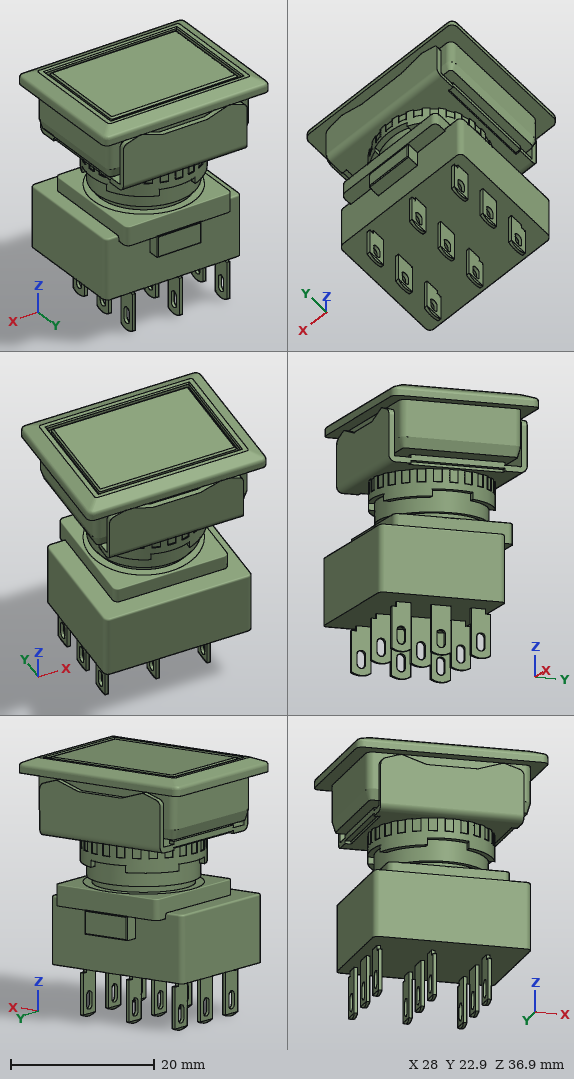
import cadquery as cq

TOP_Z = 36.9
BEZEL_BASE_Z = 34.8
HOUSING_BASE_Z = 27.95
NUT_TOP_Z = 26.1
NUT_BASE_Z = 22.18
BARREL_BASE_Z = 20.07
MOUNT_TOP_Z = 19.1
MOUNT_BASE_Z = 16.1
BLOCK_TOP_Z = 16.9
BLOCK_BASE_Z = 7.1

BEZEL_LENGTH, BEZEL_WIDTH = 28.0, 22.0
BEZEL_SLOPE_RUN, BEZEL_SLOPE_DROP = 2.03, 0.9
BEZEL_CORNER_RADIUS = 1.0
BEZEL_EDGE_RADIUS = 0.55
RIM_BAND = 0.1
WINDOW_LENGTH, WINDOW_WIDTH = 22.15, 16.3
WINDOW_DEPTH = 0.75
WINDOW_CHAMFER = 0.2
LENS_LENGTH, LENS_WIDTH = 21.45, 15.42
LENS_CORNER_RADIUS = 0.3
LENS_CHAMFER = 0.25

HOUSING_LENGTH, HOUSING_WIDTH = 24.02, 18.1
HOUSING_CORNER_RADIUS = 1.0
TAPER_HEIGHT = 1.5
TAPER_INSET = 0.48
BARREL_RADIUS = 8.0
NECK_RADIUS = 7.27
FOOT_RADIUS = 8.5
FOOT_HEIGHT = 1.0

BRACKET_LENGTH = 20.92
BRACKET_WIDTH = 20.65
SHEET_THICKNESS = 0.85
BEND_RADIUS = 1.0
EAR_PEAK_Z = 34.43
EAR_VALLEY_Z = 33.25
EAR_CORNER_Z = 33.5
EAR_PEAK_X = 7.5
EAR_VALLEY_X = 3.73
EAR_CORNER_RADIUS = 1.0
TONGUE_WIDTH = 14.02
TONGUE_RAISE = 0.4
TONGUE_LENGTH = 0.85

NUT_RADIUS = 8.9
GRIP_COUNT = 24
GRIP_WIDTH = 1.2
GRIP_HEIGHT = 1.85
GRIP_DEPTH = 0.2
WRENCH_NOTCH_WIDTH = 6.05
WRENCH_NOTCH_HEIGHT = 1.0

BLOCK_LENGTH, BLOCK_WIDTH = 23.03, 18.85
BLOCK_CENTER_X, BLOCK_CENTER_Y = -0.37, -2.49
MOUNT_SIDE = 17.85
BLOCK_CORNER_RADIUS = 0.8
BLOCK_EDGE_RADIUS = 0.3
MOUNT_EDGE_RADIUS = 0.15
LATCH_LENGTH = 7.38
LATCH_HEIGHT = 3.47
LATCH_CHAMFER = 0.15

TERMINAL_PITCH_X, TERMINAL_PITCH_Y = 7.97, 5.95
TERMINAL_CENTER_X, TERMINAL_CENTER_Y = -1.95, -0.95
TERMINAL_WIDTH = 2.88
TERMINAL_THICKNESS = 0.5
TERMINAL_TIP_HEIGHT = 0.4
TERMINAL_TIP_BEVEL = 0.15
TERMINAL_HOLE_WIDTH, TERMINAL_HOLE_HEIGHT = 1.25, 2.6
TERMINAL_HOLE_Z = 2.32
SHOULDER_DEPTH, SHOULDER_HEIGHT = 0.75, 0.7


def block(length, width, base_z, top_z):
    """Rectangular block centred on the barrel axis."""
    return (
        cq.Workplane("XY", origin=(0, 0, base_z))
        .rect(length, width)
        .extrude(top_z - base_z)
    )


def disc(radius, base_z, top_z):
    """Cylinder on the barrel axis."""
    return cq.Workplane("XY", origin=(0, 0, base_z)).circle(radius).extrude(top_z - base_z)


def make_bezel():
    """Bezel plate with rounded corners, four sloping sides and a rounded rim."""
    plate = block(BEZEL_LENGTH, BEZEL_WIDTH, BEZEL_BASE_Z, TOP_Z).edges("|Z").fillet(BEZEL_CORNER_RADIUS)
    slope_height = TOP_Z - BEZEL_BASE_Z
    slope_run = BEZEL_SLOPE_RUN * slope_height / BEZEL_SLOPE_DROP
    base_growth = 2 * (slope_run - BEZEL_SLOPE_RUN)
    top_shrink = 2 * BEZEL_SLOPE_RUN
    slopes = (
        cq.Workplane("XY", origin=(0, 0, BEZEL_BASE_Z))
        .rect(BEZEL_LENGTH + base_growth, BEZEL_WIDTH + base_growth)
        .workplane(offset=slope_height)
        .rect(BEZEL_LENGTH - top_shrink, BEZEL_WIDTH - top_shrink)
        .loft(ruled=True)
        .edges("not(#Z)")
        .fillet(BEZEL_CORNER_RADIUS)
    )
    rim_z = TOP_Z - BEZEL_SLOPE_DROP
    rim_zone = cq.selectors.BoxSelector(
        (-BEZEL_LENGTH, -BEZEL_WIDTH, rim_z - RIM_BAND),
        (BEZEL_LENGTH, BEZEL_WIDTH, rim_z + RIM_BAND),
        boundingbox=True,
    )
    return plate.intersect(slopes).edges(rim_zone).fillet(BEZEL_EDGE_RADIUS)


def make_lens():
    """Raised rectangular lens standing on the floor of the window."""
    return (
        block(LENS_LENGTH, LENS_WIDTH, TOP_Z - WINDOW_DEPTH, TOP_Z)
        .edges("|Z")
        .fillet(LENS_CORNER_RADIUS)
        .faces(">Z")
        .chamfer(LENS_CHAMFER)
    )


def make_window_recess():
    """Cutter for the window around the lens, widened by a chamfer at the top."""
    straight = block(WINDOW_LENGTH, WINDOW_WIDTH, TOP_Z - WINDOW_DEPTH, TOP_Z)
    flare = (
        cq.Workplane("XY", origin=(0, 0, TOP_Z - WINDOW_CHAMFER))
        .rect(WINDOW_LENGTH, WINDOW_WIDTH)
        .workplane(offset=WINDOW_CHAMFER)
        .rect(WINDOW_LENGTH + 2 * WINDOW_CHAMFER, WINDOW_WIDTH + 2 * WINDOW_CHAMFER)
        .loft(ruled=True)
    )
    return straight.union(flare)


def make_housing():
    """Rounded rectangular housing whose lower end tapers inward."""
    return (
        block(HOUSING_LENGTH, HOUSING_WIDTH, HOUSING_BASE_Z, BEZEL_BASE_Z)
        .edges("|Z")
        .fillet(HOUSING_CORNER_RADIUS)
        .faces("<Z")
        .chamfer(TAPER_HEIGHT, TAPER_INSET)
    )


def make_barrel():
    """Round barrel, its neck, and the foot that seats in the contact block."""
    barrel = disc(BARREL_RADIUS, BARREL_BASE_Z, HOUSING_BASE_Z)
    neck = disc(NECK_RADIUS, MOUNT_TOP_Z, BARREL_BASE_Z)
    foot = disc(FOOT_RADIUS, MOUNT_TOP_Z - FOOT_HEIGHT, MOUNT_TOP_Z)
    return barrel.union(neck).union(foot)


def make_operator():
    """Bezel, lens, housing and barrel as one body."""
    bezel = make_bezel().cut(make_window_recess()).union(make_lens())
    return bezel.union(make_housing()).union(make_barrel())


def make_bracket_channel():
    """U-shaped sheet: a floor under the housing and a wall along each long side."""
    inner_width = BRACKET_WIDTH - 2 * SHEET_THICKNESS
    outer = (
        block(BRACKET_LENGTH, BRACKET_WIDTH, NUT_TOP_Z, BEZEL_BASE_Z)
        .edges("|X and <Z")
        .fillet(BEND_RADIUS)
    )
    inner = (
        block(BRACKET_LENGTH, inner_width, NUT_TOP_Z + SHEET_THICKNESS, BEZEL_BASE_Z)
        .edges("|X and <Z")
        .fillet(BEND_RADIUS - SHEET_THICKNESS)
    )
    return outer.cut(inner)


def make_wall_outline():
    """Prism through both walls: two peaks, a valley between them and rounded ears."""
    half_length = BRACKET_LENGTH / 2
    return (
        cq.Workplane("XZ")
        .moveTo(-half_length, NUT_TOP_Z)
        .lineTo(-half_length, EAR_CORNER_Z)
        .lineTo(-EAR_PEAK_X, EAR_PEAK_Z)
        .lineTo(-EAR_VALLEY_X, EAR_VALLEY_Z)
        .lineTo(EAR_VALLEY_X, EAR_VALLEY_Z)
        .lineTo(EAR_PEAK_X, EAR_PEAK_Z)
        .lineTo(half_length, EAR_CORNER_Z)
        .lineTo(half_length, NUT_TOP_Z)
        .close()
        .extrude(BRACKET_WIDTH / 2, both=True)
        .edges(cq.selectors.BoxSelector(
            (-BRACKET_LENGTH, -BRACKET_WIDTH, EAR_CORNER_Z - RIM_BAND),
            (BRACKET_LENGTH, BRACKET_WIDTH, EAR_CORNER_Z + RIM_BAND),
        ))
        .edges("|Y")
        .fillet(EAR_CORNER_RADIUS)
    )


def make_bracket():
    """Spring bracket with a raised tongue at each end of its floor and a hole for the barrel."""
    bracket = make_bracket_channel().intersect(make_wall_outline())
    for end in (-1, 1):
        tongue_x = end * (BRACKET_LENGTH - TONGUE_LENGTH) / 2
        tongue = block(TONGUE_LENGTH, TONGUE_WIDTH, NUT_TOP_Z, NUT_TOP_Z + SHEET_THICKNESS)
        tongue = tongue.translate((tongue_x, 0, 0))
        bracket = bracket.cut(tongue).union(tongue.translate((0, 0, TONGUE_RAISE)))
    return bracket.cut(disc(BARREL_RADIUS, NUT_TOP_Z, HOUSING_BASE_Z))


def make_nut():
    """Ring nut with grip slots around its upper edge and four wrench notches below."""
    nut = disc(NUT_RADIUS, NUT_BASE_Z, NUT_TOP_Z)
    grip_slot = (
        cq.Workplane("XY", origin=(NUT_RADIUS, 0, NUT_TOP_Z - GRIP_HEIGHT))
        .rect(2 * GRIP_DEPTH, GRIP_WIDTH)
        .extrude(GRIP_HEIGHT)
    )
    for index in range(GRIP_COUNT):
        angle = index * 360 / GRIP_COUNT
        nut = nut.cut(grip_slot.rotate((0, 0, 0), (0, 0, 1), angle))
    notch_top_z = NUT_BASE_Z + WRENCH_NOTCH_HEIGHT
    nut = nut.cut(block(WRENCH_NOTCH_WIDTH, 2 * NUT_RADIUS, NUT_BASE_Z, notch_top_z))
    nut = nut.cut(block(2 * NUT_RADIUS, WRENCH_NOTCH_WIDTH, NUT_BASE_Z, notch_top_z))
    return nut.cut(disc(BARREL_RADIUS, NUT_BASE_Z, NUT_TOP_Z))


def make_terminal(shoulder_side):
    """Flat terminal in the YZ plane; shoulder_side is -1 or 1 for a relief on that Y side, else 0."""
    half_width = TERMINAL_WIDTH / 2
    half_thickness = TERMINAL_THICKNESS / 2
    terminal = (
        cq.Workplane("YZ", origin=(-half_thickness, 0, 0))
        .moveTo(-half_width, BLOCK_BASE_Z)
        .lineTo(-half_width, TERMINAL_TIP_HEIGHT)
        .threePointArc((0, 0), (half_width, TERMINAL_TIP_HEIGHT))
        .lineTo(half_width, BLOCK_BASE_Z)
        .close()
        .extrude(TERMINAL_THICKNESS)
    )
    eye = (
        cq.Workplane("YZ", origin=(-half_thickness, 0, TERMINAL_HOLE_Z))
        .slot2D(TERMINAL_HOLE_HEIGHT, TERMINAL_HOLE_WIDTH, 90)
        .extrude(TERMINAL_THICKNESS)
    )
    tip_bevel = (
        cq.Workplane("XZ")
        .moveTo(-half_thickness, 0)
        .lineTo(-half_thickness + TERMINAL_TIP_BEVEL, 0)
        .lineTo(-half_thickness, TERMINAL_TIP_HEIGHT)
        .close()
        .extrude(half_width, both=True)
    )
    terminal = terminal.cut(eye).cut(tip_bevel)
    if shoulder_side:
        relief = block(
            TERMINAL_THICKNESS, 2 * SHOULDER_DEPTH, BLOCK_BASE_Z - SHOULDER_HEIGHT, BLOCK_BASE_Z
        )
        terminal = terminal.cut(relief.translate((0, shoulder_side * half_width, 0)))
    return terminal


def make_contact_block():
    """Contact block with its mounting plate, latch and a three by three grid of terminals."""
    body = (
        block(BLOCK_LENGTH, BLOCK_WIDTH, BLOCK_BASE_Z, BLOCK_TOP_Z)
        .edges("|Z")
        .fillet(BLOCK_CORNER_RADIUS)
        .faces(">Z")
        .edges()
        .fillet(BLOCK_EDGE_RADIUS)
        .translate((BLOCK_CENTER_X, BLOCK_CENTER_Y, 0))
    )
    mount = (
        block(MOUNT_SIDE, MOUNT_SIDE, MOUNT_BASE_Z, MOUNT_TOP_Z)
        .edges("|Z")
        .fillet(BLOCK_CORNER_RADIUS)
        .faces(">Z")
        .edges()
        .fillet(MOUNT_EDGE_RADIUS)
    )
    latch = (
        block(LATCH_LENGTH, MOUNT_SIDE, MOUNT_BASE_Z - LATCH_HEIGHT, MOUNT_BASE_Z)
        .faces(">Y")
        .chamfer(LATCH_CHAMFER)
    )
    contact_block = body.union(mount).union(latch)
    for column in (-1, 0, 1):
        for row in (-1, 0, 1):
            x = TERMINAL_CENTER_X + column * TERMINAL_PITCH_X
            y = TERMINAL_CENTER_Y + row * TERMINAL_PITCH_Y
            contact_block = contact_block.union(make_terminal(row).translate((x, y, 0)))
    return contact_block.cut(disc(FOOT_RADIUS, MOUNT_TOP_Z - FOOT_HEIGHT, MOUNT_TOP_Z))


operator = make_operator()
bracket = make_bracket()
nut = make_nut()
contact_block = make_contact_block()

result = cq.Compound.makeCompound([operator.val(), bracket.val(), nut.val(), contact_block.val()])